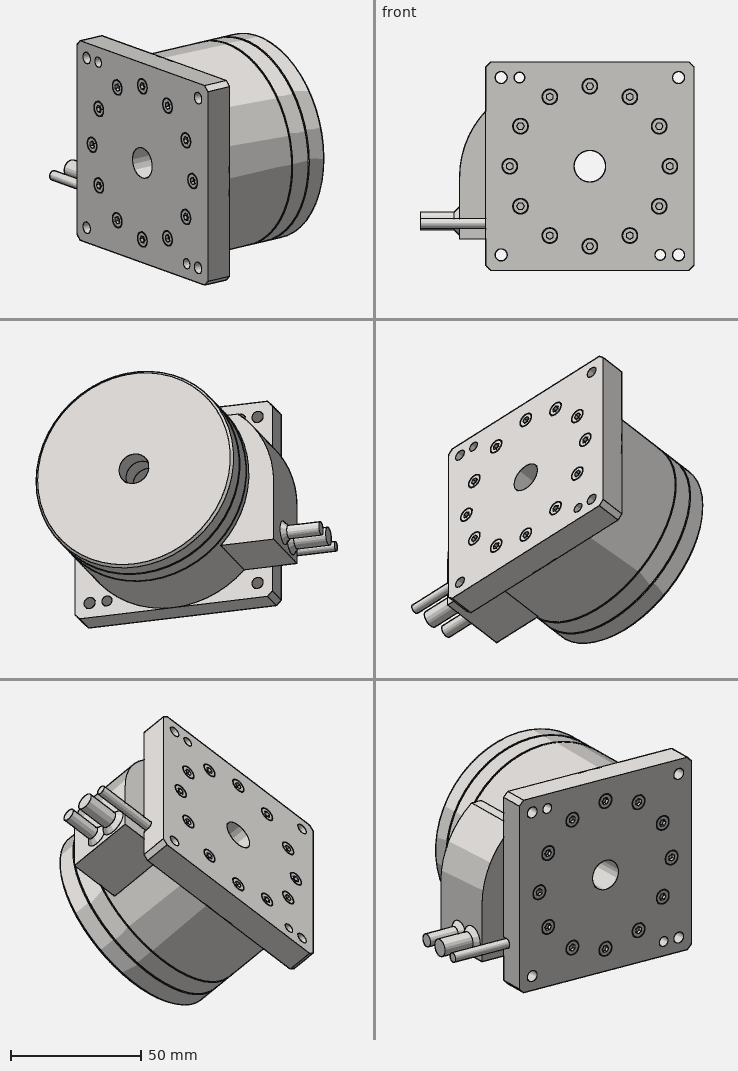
import cadquery as cq
import math

TINY_CHAMFER = 0.3
BORE_DIAMETER = 12.0

PLATE_SIZE = 80.0
PLATE_THICKNESS = 10.7
PLATE_CORNER_CHAMFER = 2.0
MOUNT_HOLE_OFFSET = 34.0
MOUNT_HOLE_DIAMETER = 4.5
DOWEL_HOLE_OFFSET = 27.0
DOWEL_HOLE_DIAMETER = 4.0

SCREW_COUNT = 12
SCREW_CIRCLE_RADIUS = 30.7
SCREW_HEAD_DIAMETER = 5.5
SCREW_RECESS_DIAMETER = 6.0
SCREW_RECESS_DEPTH = 3.0
SOCKET_ACROSS_FLATS = 2.5
SOCKET_DEPTH = 1.5

BODY_RADIUS = PLATE_SIZE / 2
HOUSING_END = 41.5
RING_THICKNESS = 8.2
TABLE_END = 58.0
RING_END = HOUSING_END + RING_THICKNESS
TABLE_THICKNESS = TABLE_END - RING_END
TABLE_CHAMFER = 1.0

BLOCK_SIDE_X = -50.0
BLOCK_TOP_X = -35.7
BLOCK_TOP_Z = 25.0
BLOCK_BOTTOM_Z = -28.0
BLOCK_ARC_START_Z = -4.3
BLOCK_LENGTH = 28.0

CABLE_END_X = -65.0
SLEEVE_LENGTH = 2.0
MOTOR_CABLES_Z = -21.0
MOTOR_CABLES = [
    (17.4, 3.5),
    (26.4, 2.6),
]
SENSOR_CABLE_RADIUS = 1.9
SENSOR_CABLE_Z = -22.0
SENSOR_CABLE_INSET = 2.1
SENSOR_CABLE_Y = PLATE_THICKNESS - SENSOR_CABLE_INSET
SENSOR_SLOT_WIDTH = 4.0
SENSOR_SLOT_DEPTH = 2.0
PLATE_SIDE_X = -PLATE_SIZE / 2
SENSOR_SLOT_END_X = PLATE_SIDE_X + SENSOR_SLOT_DEPTH


def disc(start_y, length, radius):
    """Cylinder on the motor axis that grows toward +Y from start_y."""
    return cq.Workplane("XZ", origin=(0, start_y, 0)).circle(radius).extrude(-length)


def rod_along_x(start_x, end_x, y, z, radius):
    """Cylinder parallel to X."""
    section = cq.Workplane("YZ", origin=(start_x, y, z)).circle(radius)
    return section.extrude(end_x - start_x)


def drill(body, points, diameter):
    """Cut holes along Y through the mounting plate."""
    holes = cq.Workplane("XZ").pushPoints(points).circle(diameter / 2).extrude(-PLATE_THICKNESS)
    return body.cut(holes)


def make_plate():
    plate = cq.Workplane("XZ").rect(PLATE_SIZE, PLATE_SIZE).extrude(-PLATE_THICKNESS)
    return plate.edges("|Y").chamfer(PLATE_CORNER_CHAMFER)


def make_block():
    """Connector block with a rounded shoulder, reaching inward to the motor axis."""
    rise = BLOCK_TOP_Z - BLOCK_ARC_START_Z
    run = BLOCK_TOP_X - BLOCK_SIDE_X
    shoulder_radius = (rise**2 + run**2) / (2 * run)
    half_angle = math.asin(rise / shoulder_radius) / 2
    arc_middle = (
        BLOCK_SIDE_X + shoulder_radius * (1 - math.cos(half_angle)),
        BLOCK_ARC_START_Z + shoulder_radius * math.sin(half_angle),
    )
    return (
        cq.Workplane("XZ", origin=(0, PLATE_THICKNESS, 0))
        .moveTo(0, BLOCK_BOTTOM_Z)
        .lineTo(BLOCK_SIDE_X, BLOCK_BOTTOM_Z)
        .lineTo(BLOCK_SIDE_X, BLOCK_ARC_START_Z)
        .threePointArc(arc_middle, (BLOCK_TOP_X, BLOCK_TOP_Z))
        .lineTo(0, BLOCK_TOP_Z)
        .close()
        .extrude(-BLOCK_LENGTH)
    )


def make_motor_cable(y, radius):
    """Cable with a conical sleeve against the side of the connector block."""
    cable = rod_along_x(CABLE_END_X, BLOCK_SIDE_X, y, MOTOR_CABLES_Z, radius)
    sleeve = cq.Solid.makeCone(
        radius + SLEEVE_LENGTH,
        radius,
        SLEEVE_LENGTH,
        pnt=cq.Vector(BLOCK_SIDE_X, y, MOTOR_CABLES_Z),
        dir=cq.Vector(-1, 0, 0),
    )
    return cable.union(cq.Workplane(sleeve))


def cut_screw_details(body):
    """Cut the clearance ring and hex socket of every screw head."""
    clearance = (
        cq.Workplane("XZ")
        .circle(SCREW_RECESS_DIAMETER / 2)
        .circle(SCREW_HEAD_DIAMETER / 2)
        .extrude(-SCREW_RECESS_DEPTH)
    )
    socket_across_corners = SOCKET_ACROSS_FLATS / math.cos(math.radians(30))
    socket = cq.Workplane("XZ").polygon(6, socket_across_corners).extrude(-SOCKET_DEPTH)
    screw = clearance.union(socket).translate((0, 0, SCREW_CIRCLE_RADIUS))
    for index in range(SCREW_COUNT):
        angle = index * 360 / SCREW_COUNT
        body = body.cut(screw.rotate((0, 0, 0), (0, 1, 0), angle))
    return body


def cut_sensor_slot(body):
    """Cut the round-bottomed slot in the back of the plate, closed behind by the block."""
    slot_radius = SENSOR_SLOT_WIDTH / 2
    round_bottom = rod_along_x(
        PLATE_SIDE_X, SENSOR_SLOT_END_X, SENSOR_CABLE_Y, SENSOR_CABLE_Z, slot_radius
    )
    open_side = cq.Workplane("XY").box(
        SENSOR_SLOT_DEPTH,
        PLATE_THICKNESS - SENSOR_CABLE_Y,
        SENSOR_SLOT_WIDTH,
        centered=(False, False, True),
    )
    open_side = open_side.translate((PLATE_SIDE_X, SENSOR_CABLE_Y, SENSOR_CABLE_Z))
    return body.cut(open_side).cut(round_bottom)


def make_housing():
    """Mounting plate, motor housing, connector block and cables as one solid."""
    housing = make_plate()
    housing = housing.union(disc(PLATE_THICKNESS, HOUSING_END - PLATE_THICKNESS, BODY_RADIUS))
    housing = housing.union(make_block())
    for y, radius in MOTOR_CABLES:
        housing = housing.union(make_motor_cable(y, radius))

    far = MOUNT_HOLE_OFFSET
    housing = drill(housing, [(-far, -far), (-far, far), (far, -far), (far, far)], MOUNT_HOLE_DIAMETER)
    dowels = [(-DOWEL_HOLE_OFFSET, far), (DOWEL_HOLE_OFFSET, -far)]
    housing = drill(housing, dowels, DOWEL_HOLE_DIAMETER)
    housing = cut_screw_details(housing)

    housing = cut_sensor_slot(housing)
    sensor_cable = rod_along_x(
        CABLE_END_X, SENSOR_SLOT_END_X, SENSOR_CABLE_Y, SENSOR_CABLE_Z, SENSOR_CABLE_RADIUS
    )
    housing = housing.union(sensor_cable)
    return housing.cut(disc(0, HOUSING_END, BORE_DIAMETER / 2))


def make_ring():
    ring = disc(HOUSING_END, RING_THICKNESS, BODY_RADIUS).edges().chamfer(TINY_CHAMFER)
    return ring.cut(disc(HOUSING_END, RING_THICKNESS, BORE_DIAMETER / 2))


def make_turntable():
    table = disc(RING_END, TABLE_THICKNESS, BODY_RADIUS)
    table = table.edges(">Y").chamfer(TABLE_CHAMFER)
    table = table.edges("<Y").chamfer(TINY_CHAMFER)
    return table.cut(disc(RING_END, TABLE_THICKNESS, BORE_DIAMETER / 2))


housing = make_housing()
ring = make_ring()
turntable = make_turntable()

result = cq.Compound.makeCompound([housing.val(), ring.val(), turntable.val()])